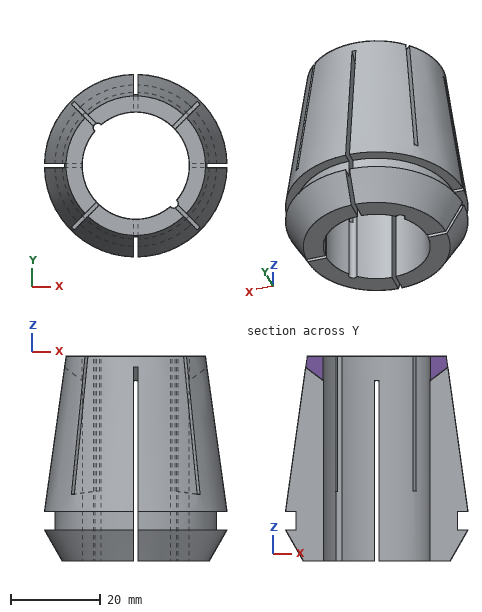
import cadquery as cq
import math

height = 46.0
max_diameter = 41.0
max_radius = max_diameter / 2
top_radius = 15.65
bottom_radius = 16.45
bore_radius = 12.0

groove_radius = 18.12
groove_bottom = 7.05
groove_top = 11.15

slit_width = 0.9
slit_count = 4
slit_spacing = 360 / slit_count
lower_slit_outer_end = 43.5
lower_slit_bore_end = 40.5
upper_slit_outer_end = 15.0
upper_slit_bore_end = 15.8

relief_radius = 1.0
relief_center_radius = bore_radius
relief_angles = (135, 315)


def taper_radius(z):
    """Outer radius of the long taper at height z."""
    fraction = (z - groove_top) / (height - groove_top)
    return max_radius + fraction * (top_radius - max_radius)


def slit(angle, open_z, outer_end, bore_end):
    """Radial slit from height open_z to a sloped end between bore and outside."""
    outer_end_radius = taper_radius(outer_end)
    slope = (outer_end - bore_end) / (outer_end_radius - bore_radius)
    inner_radius = bore_radius - 2 * slit_width
    outer_radius = max_radius + slit_width
    inner_z = bore_end + slope * (inner_radius - bore_radius)
    outer_z = bore_end + slope * (outer_radius - bore_radius)
    profile = [
        (inner_radius, open_z),
        (outer_radius, open_z),
        (outer_radius, outer_z),
        (inner_radius, inner_z),
    ]
    cutter = cq.Workplane("XZ").polyline(profile).close().extrude(slit_width / 2, both=True)
    return cutter.rotate((0, 0, 0), (0, 0, 1), angle)


def relief(angle):
    """Round groove running the full length of the bore."""
    x = relief_center_radius * math.cos(math.radians(angle))
    y = relief_center_radius * math.sin(math.radians(angle))
    return cq.Workplane("XY").center(x, y).circle(relief_radius).extrude(height)


half_section = [
    (bore_radius, 0),
    (bottom_radius, 0),
    (max_radius, groove_bottom),
    (groove_radius, groove_bottom),
    (groove_radius, groove_top),
    (max_radius, groove_top),
    (top_radius, height),
    (bore_radius, height),
]
result = cq.Workplane("XZ").polyline(half_section).close().revolve(360, (0, 0), (0, 1))

for index in range(slit_count):
    lower_angle = index * slit_spacing
    upper_angle = lower_angle + slit_spacing / 2
    result = result.cut(slit(lower_angle, 0, lower_slit_outer_end, lower_slit_bore_end))
    result = result.cut(slit(upper_angle, height, upper_slit_outer_end, upper_slit_bore_end))

for relief_angle in relief_angles:
    result = result.cut(relief(relief_angle))